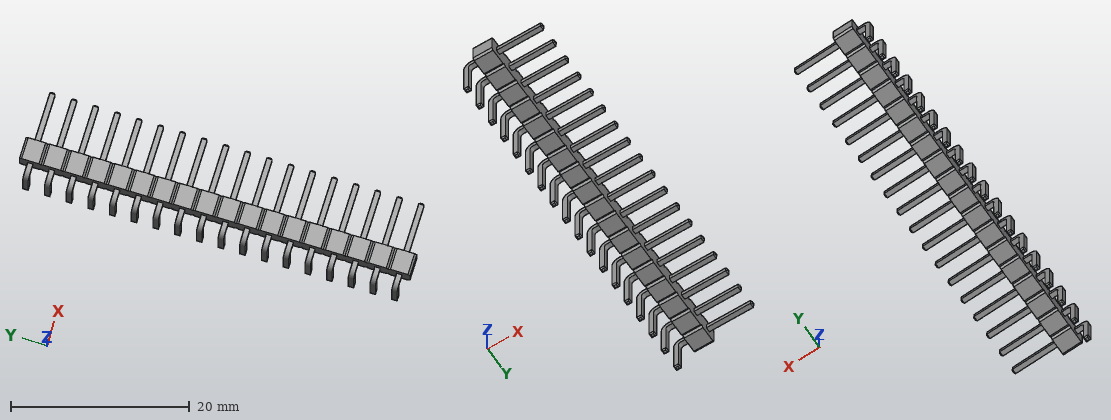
import cadquery as cq

PIN_COUNT = 18
ROW_LENGTH = 45.7
PITCH = ROW_LENGTH / PIN_COUNT

BODY_SIZE = PITCH
BODY_CHAMFER = 0.25

PIN_WIDTH = 0.65
TOTAL_WIDTH = 10.4
TOTAL_HEIGHT = 6.15
LEG_OFFSET = 1.85
BEND_OUTER_RADIUS = 1.0
BEND_INNER_RADIUS = BEND_OUTER_RADIUS - PIN_WIDTH
TIP_CHAMFER = 0.16

BODY_HALF = BODY_SIZE / 2
PIN_HALF = PIN_WIDTH / 2
LEG_OUTER_X = -BODY_HALF - LEG_OFFSET
LEG_INNER_X = LEG_OUTER_X + PIN_WIDTH
CONTACT_TIP_X = LEG_OUTER_X + TOTAL_WIDTH
LEG_TIP_Z = BODY_HALF - TOTAL_HEIGHT


def make_segment():
    """One body cube with its four X-direction edges bevelled."""
    cube = cq.Workplane("XY").box(BODY_SIZE, BODY_SIZE, BODY_SIZE)
    return cube.edges("|X").chamfer(BODY_CHAMFER)


def make_pin():
    """One L-shaped square pin with a rounded bend and bevelled tips."""
    outline = [
        (LEG_OUTER_X, LEG_TIP_Z),
        (LEG_INNER_X, LEG_TIP_Z),
        (LEG_INNER_X, -PIN_HALF),
        (CONTACT_TIP_X, -PIN_HALF),
        (CONTACT_TIP_X, PIN_HALF),
        (LEG_OUTER_X, PIN_HALF),
    ]
    pin = cq.Workplane("XZ").polyline(outline).close().extrude(PIN_HALF, both=True)

    outer_corner = cq.selectors.NearestToPointSelector((LEG_OUTER_X, 0, PIN_HALF))
    pin = pin.edges("|Y").edges(outer_corner).fillet(BEND_OUTER_RADIUS)
    inner_corner = cq.selectors.NearestToPointSelector((LEG_INNER_X, 0, -PIN_HALF))
    pin = pin.edges("|Y").edges(inner_corner).fillet(BEND_INNER_RADIUS)

    pin = pin.faces(">X").chamfer(TIP_CHAMFER)
    return pin.faces("<Z").chamfer(TIP_CHAMFER)


unit = make_segment().union(make_pin())

result = cq.Workplane("XY")
for index in range(PIN_COUNT):
    pin_y = (index - (PIN_COUNT - 1) / 2) * PITCH
    result = result.union(unit.translate((0, pin_y, 0)))